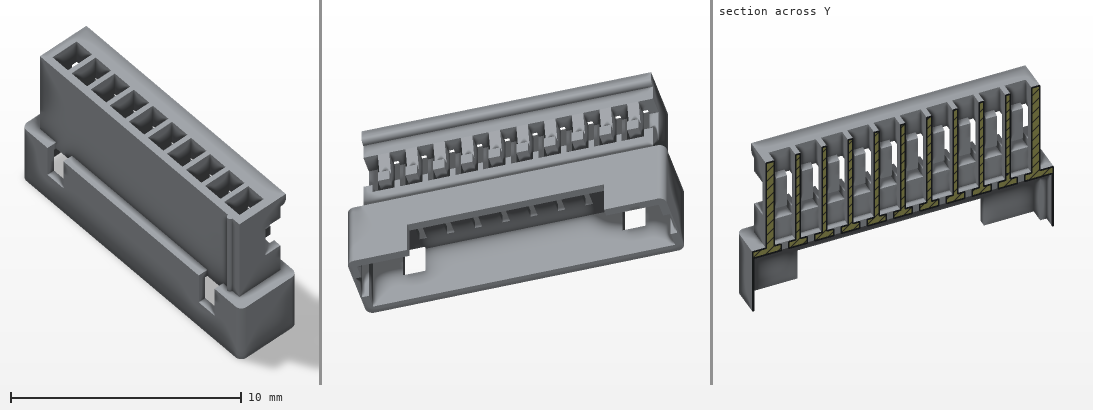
import cadquery as cq

base_length = 14.4
base_depth = 3.3
base_height = 3.3
base_corner_radius = 0.33
wall = 0.37
ceiling_z = 2.91

end_relief_wall = 0.07
end_relief_width = 1.18

slot_width = 1.04
slot_center_x = 4.97
slot_bottom_z = 1.55

total_height = 8.0
body_length = 13.1
body_front_y = -1.15
body_back_y = 1.22

lip_back_y = 1.54
lip_bottom_z = 7.42
lip_radius = 0.23

rib_x = 5.95
rib_radius = 0.15

window_front_y = 0.36
window_bottom_z = 4.9
window_top_z = 6.68

back_slot_floor_z = 4.46

pocket_count = 10
pocket_pitch = 1.25
pocket_width = 1.01
pocket_front_y = -0.78
pocket_back_y = 0.62
pin_hole_width = 0.33
pin_hole_front_y = -0.65
pin_hole_back_y = 0.06

finger_width = 0.52
finger_notch_y = 0.92
finger_notch_z = 5.6
finger_inner_bottom_z = 5.03
finger_outer_bottom_z = 5.07
ramp_height = 0.15

base_front_y = -base_depth / 2
base_back_y = base_depth / 2
pocket_floor_z = base_height
pocket_xs = [(i - (pocket_count - 1) / 2) * pocket_pitch for i in range(pocket_count)]


def block(x_center, x_size, y_range, z_range):
    """Box centred on x_center, spanning the given Y and Z ranges."""
    y_min, y_max = y_range
    z_min, z_max = z_range
    return (
        cq.Workplane("XY")
        .box(x_size, y_max - y_min, z_max - z_min, centered=(True, False, False))
        .translate((x_center, y_min, z_min))
    )


def extrude_profile(profile, x_center, x_size):
    """Extrude a closed YZ profile by x_size, centred on x_center."""
    return profile.extrude(x_size / 2, both=True).translate((x_center, 0, 0))


def make_base():
    base = (
        cq.Workplane("XY")
        .rect(base_length, base_depth)
        .extrude(base_height)
        .edges("|Z")
        .fillet(base_corner_radius)
    )
    inner_y = (base_front_y + wall, base_back_y - wall)
    cavity = block(0, base_length - 2 * wall, inner_y, (0, ceiling_z))
    end_relief = block(
        0,
        base_length - 2 * end_relief_wall,
        (-end_relief_width / 2, end_relief_width / 2),
        (0, ceiling_z),
    )
    return base.cut(cavity).cut(end_relief)


def make_body():
    profile = (
        cq.Workplane("YZ")
        .moveTo(body_front_y, ceiling_z)
        .lineTo(body_front_y, total_height)
        .lineTo(lip_back_y, total_height)
        .lineTo(lip_back_y, lip_bottom_z + lip_radius)
        .radiusArc((lip_back_y - lip_radius, lip_bottom_z), lip_radius)
        .lineTo(body_back_y, lip_bottom_z)
        .lineTo(body_back_y, ceiling_z)
        .close()
    )
    return extrude_profile(profile, 0, body_length)


def make_rib():
    return (
        cq.Workplane("XY", origin=(rib_x, body_front_y, ceiling_z))
        .moveTo(-rib_radius, 0)
        .threePointArc((0, -rib_radius), (rib_radius, 0))
        .close()
        .extrude(total_height - ceiling_z)
    )


def make_finger(x_center):
    """Hooked latch finger whose front face blends into the pocket's back wall by a ramp."""
    ramp_top_z = window_top_z + ramp_height
    profile = (
        cq.Workplane("YZ")
        .moveTo(body_back_y, window_top_z)
        .lineTo(finger_notch_y, finger_notch_z)
        .lineTo(body_back_y, finger_notch_z)
        .lineTo(body_back_y, finger_outer_bottom_z)
        .lineTo(window_front_y, finger_inner_bottom_z)
        .lineTo(window_front_y, window_top_z)
        .lineTo(pocket_back_y, ramp_top_z)
        .lineTo(body_back_y, ramp_top_z)
        .close()
    )
    return extrude_profile(profile, x_center, finger_width)


part = make_base().union(make_body()).union(make_rib())

for slot_x in (-slot_center_x, slot_center_x):
    part = part.cut(
        block(slot_x, slot_width, (base_front_y, body_front_y), (slot_bottom_z, base_height))
    )

back_opening_width = 2 * slot_center_x - slot_width
part = part.cut(
    block(0, back_opening_width, (base_back_y - wall, base_back_y), (0, slot_bottom_z))
)

part = part.cut(
    block(0, body_length, (window_front_y, body_back_y), (window_bottom_z, window_top_z))
)

for x in pocket_xs:
    mouth = block(
        x, pocket_width, (pocket_front_y, pocket_back_y), (window_top_z, total_height)
    )
    lower_pocket = block(
        x, pocket_width, (pocket_front_y, window_front_y), (pocket_floor_z, window_top_z)
    )
    back_slot = block(
        x, pocket_width, (window_front_y, body_back_y), (back_slot_floor_z, window_bottom_z)
    )
    pin_hole = block(
        x, pin_hole_width, (pin_hole_front_y, pin_hole_back_y), (ceiling_z, pocket_floor_z)
    )
    part = part.cut(mouth).cut(lower_pocket).cut(back_slot).cut(pin_hole)
    part = part.union(make_finger(x))

result = part